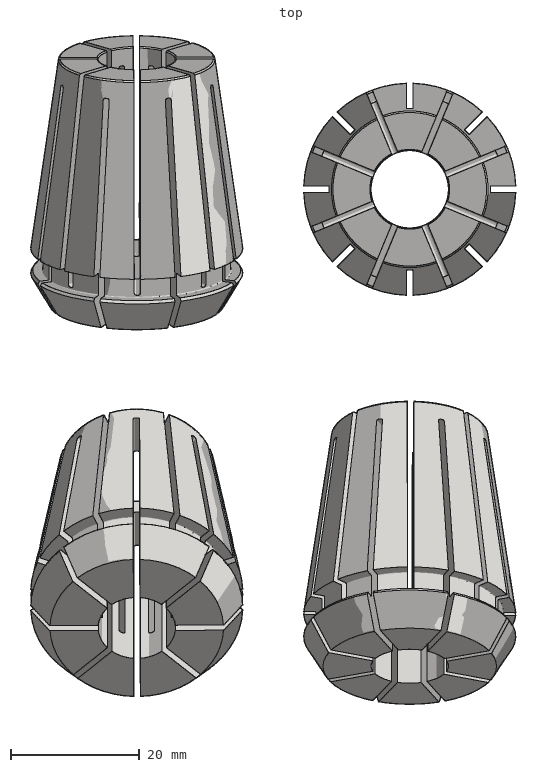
import cadquery as cq
import math

HEIGHT = 40.0
MAX_RADIUS = 16.5
BORE_RADIUS = 6.0

NOSE_HALF_ANGLE = math.radians(30)
NOSE_RIM_Z = 5.1
NOSE_BOTTOM_CHAMFER = 0.1
NOSE_TOP_Z = 5.55
NOSE_TOP_RADIUS = 16.15

GROOVE_RADIUS = 14.6
GROOVE_TOP_Z = 9.1
GROOVE_FILLET = 0.15

TAPER_HALF_ANGLE = math.radians(8)
TOP_CHAMFER = 0.25
BORE_CHAMFER = 0.2

SLOTS_PER_SET = 8
SLOT_WIDTH = 1.0
SLOT_CORNER_RADIUS = 0.4
LOWER_SLOT_END_Z = 37.05
UPPER_SLOT_END_Z = 5.95
CLEARANCE = 2.0

SLOT_PITCH = 360 / SLOTS_PER_SET


def nose_radius(z):
    """Radius of the nose cone at height z."""
    return MAX_RADIUS - (NOSE_RIM_Z - z) * math.tan(NOSE_HALF_ANGLE)


def taper_radius(z):
    """Radius of the main taper at height z."""
    return MAX_RADIUS - (z - GROOVE_TOP_Z) * math.tan(TAPER_HALF_ANGLE)


def make_body():
    """Revolve the half section of the collet about Z."""
    nose_bottom_radius = nose_radius(NOSE_BOTTOM_CHAMFER)
    taper_top_z = HEIGHT - TOP_CHAMFER
    taper_top_radius = taper_radius(taper_top_z)
    return (
        cq.Workplane("XZ")
        .moveTo(BORE_RADIUS, 0)
        .lineTo(nose_bottom_radius - NOSE_BOTTOM_CHAMFER, 0)
        .lineTo(nose_bottom_radius, NOSE_BOTTOM_CHAMFER)
        .lineTo(MAX_RADIUS, NOSE_RIM_Z)
        .lineTo(NOSE_TOP_RADIUS, NOSE_TOP_Z)
        .lineTo(GROOVE_RADIUS + GROOVE_FILLET, NOSE_TOP_Z)
        .radiusArc((GROOVE_RADIUS, NOSE_TOP_Z + GROOVE_FILLET), GROOVE_FILLET)
        .lineTo(GROOVE_RADIUS, GROOVE_TOP_Z - GROOVE_FILLET)
        .radiusArc((GROOVE_RADIUS + GROOVE_FILLET, GROOVE_TOP_Z), GROOVE_FILLET)
        .lineTo(MAX_RADIUS, GROOVE_TOP_Z)
        .lineTo(taper_top_radius, taper_top_z)
        .lineTo(taper_top_radius - TOP_CHAMFER, HEIGHT)
        .lineTo(BORE_RADIUS + BORE_CHAMFER, HEIGHT)
        .lineTo(BORE_RADIUS, HEIGHT - BORE_CHAMFER)
        .close()
        .revolve(360, (0, 0), (0, 1))
    )


def slot_cutter(open_z, end_z, angle):
    """Radial slot from the axis outwards, open at open_z, with rounded corners at end_z."""
    reach = MAX_RADIUS + CLEARANCE
    blade = cq.Workplane("XY").box(reach, SLOT_WIDTH, abs(end_z - open_z), centered=(False, True, False))
    end_face = ">Z" if end_z > open_z else "<Z"
    return (
        blade.faces(end_face)
        .edges("|X")
        .fillet(SLOT_CORNER_RADIUS)
        .translate((0, 0, min(open_z, end_z)))
        .rotate((0, 0, 0), (0, 0, 1), angle)
    )


result = make_body()
for index in range(SLOTS_PER_SET):
    lower_angle = index * SLOT_PITCH
    upper_angle = lower_angle + SLOT_PITCH / 2
    result = result.cut(slot_cutter(-CLEARANCE, LOWER_SLOT_END_Z, lower_angle))
    result = result.cut(slot_cutter(HEIGHT + CLEARANCE, UPPER_SLOT_END_Z, upper_angle))